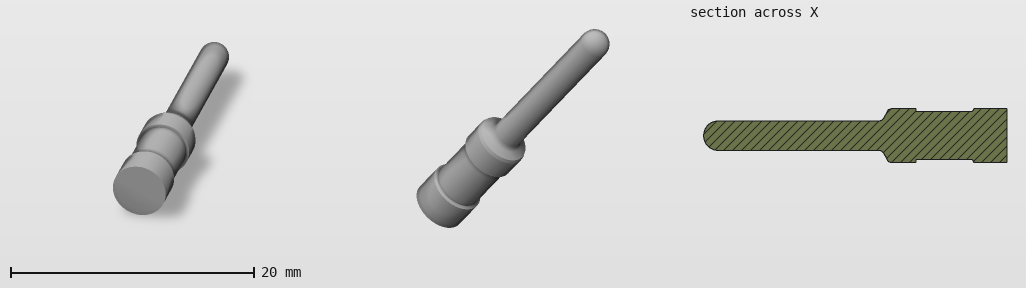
import cadquery as cq
import math

total_length = 25.0
body_radius = 4.5 / 2
neck_radius = 4.0 / 2
pin_radius = 2.48 / 2

rear_collar_edge = 2.72
neck_start = 2.88
front_collar_start = 7.48
front_collar_edge = 9.5
shoulder_start = 9.8

rim_radius = 2.15
fillet_radius = 0.45
cone_angle = math.radians(62)


def fillet_point(angle):
    """Point on the root fillet where its surface makes this angle with the axis."""
    radius = pin_radius + fillet_radius * (1 - math.cos(angle))
    station = pin_start - fillet_radius * math.sin(angle)
    return radius, station


cone_top_radius = pin_radius + fillet_radius * (1 - math.cos(cone_angle))
cone_length = (rim_radius - cone_top_radius) / math.tan(cone_angle)
pin_start = shoulder_start + cone_length + fillet_radius * math.sin(cone_angle)

tip_start = total_length - pin_radius
tip_middle = (
    pin_radius * math.cos(math.pi / 4),
    tip_start + pin_radius * math.sin(math.pi / 4),
)

profile = (
    cq.Workplane("XY")
    .moveTo(0, 0)
    .lineTo(body_radius, 0)
    .lineTo(body_radius, rear_collar_edge)
    .lineTo(neck_radius, neck_start)
    .lineTo(neck_radius, front_collar_start)
    .lineTo(body_radius, front_collar_start)
    .lineTo(body_radius, front_collar_edge)
    .lineTo(rim_radius, shoulder_start)
    .lineTo(*fillet_point(cone_angle))
    .threePointArc(fillet_point(cone_angle / 2), (pin_radius, pin_start))
    .lineTo(pin_radius, tip_start)
    .threePointArc(tip_middle, (0, total_length))
    .close()
)

result = profile.revolve(360, (0, 0, 0), (0, 1, 0))